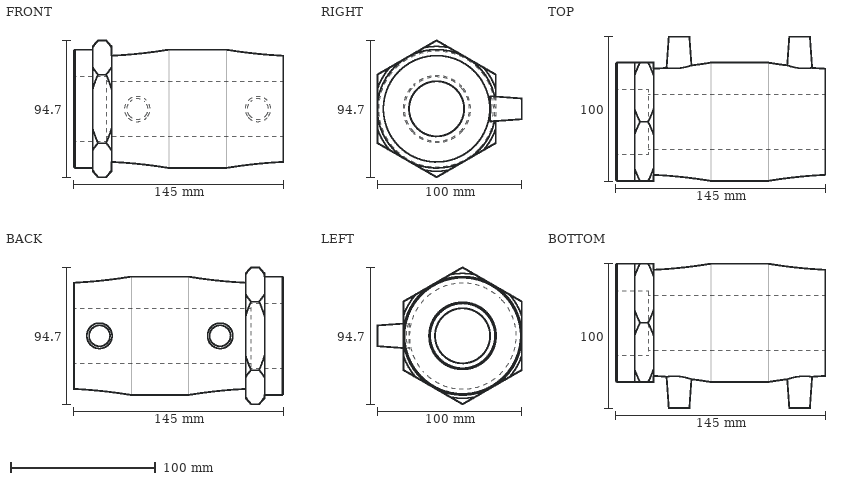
import cadquery as cq
import math

LENGTH = 145.0
BODY_DIAMETER = 82.0
NECK_DIAMETER = 73.7
NECK_HOLLOW = 0.6
COLLAR_LENGTH = 13.0
NUT_WIDTH = 13.0
RIM_CHAMFER = 0.9

NUT_FACE_DIAMETER = 86.4
NUT_CHAMFER_LENGTH = 3.8

BORE_DIAMETER = 38.0
SOCKET_DIAMETER = 44.8
SOCKET_DEPTH = 22.5
SOCKET_CHAMFER = 0.9

PIN_POSITIONS = (43.8, 127.2)
PIN_TIP_Y = 59.0
PIN_TIP_DIAMETER = 14.5
PIN_ROOT_DIAMETER = 18.0
PIN_ROOT_Y = 34.8

body_radius = BODY_DIAMETER / 2
neck_radius = NECK_DIAMETER / 2
nut_end = COLLAR_LENGTH + NUT_WIDTH
section_length = (LENGTH - nut_end) / 3
barrel_start = nut_end + section_length
barrel_end = barrel_start + section_length
nut_corner_radius = BODY_DIAMETER / math.sqrt(3)


def revolve_about_x(profile):
    return profile.close().revolve(360, (0, 0, 0), (1, 0, 0))


def make_body():
    """Collar, barrel and two slightly hollow necks that mirror each other."""
    middle_radius = (body_radius + neck_radius) / 2 - NECK_HOLLOW
    profile = (
        cq.Workplane("XY")
        .lineTo(0, body_radius - RIM_CHAMFER)
        .lineTo(RIM_CHAMFER, body_radius)
        .lineTo(COLLAR_LENGTH, body_radius)
        .lineTo(COLLAR_LENGTH, neck_radius)
        .lineTo(nut_end, neck_radius)
        .threePointArc((nut_end + section_length / 2, middle_radius), (barrel_start, body_radius))
        .lineTo(barrel_end, body_radius)
        .threePointArc((barrel_end + section_length / 2, middle_radius), (LENGTH, neck_radius))
        .lineTo(LENGTH, 0)
    )
    return revolve_about_x(profile)


def make_nut():
    """Hexagon with corners up and down, chamfered on both faces."""
    hexagon = (
        cq.Workplane("YZ", origin=(COLLAR_LENGTH, 0, 0))
        .transformed(rotate=(0, 0, 90))
        .polygon(6, 2 * nut_corner_radius)
        .extrude(NUT_WIDTH)
    )
    face_radius = NUT_FACE_DIAMETER / 2
    envelope = revolve_about_x(
        cq.Workplane("XY")
        .moveTo(COLLAR_LENGTH, 0)
        .lineTo(COLLAR_LENGTH, face_radius)
        .lineTo(COLLAR_LENGTH + NUT_CHAMFER_LENGTH, nut_corner_radius)
        .lineTo(nut_end - NUT_CHAMFER_LENGTH, nut_corner_radius)
        .lineTo(nut_end, face_radius)
        .lineTo(nut_end, 0)
    )
    return hexagon.intersect(envelope)


def make_pin(x):
    """Tapered pin pointing along +Y, rooted inside the body wall."""
    cone = cq.Solid.makeCone(
        PIN_ROOT_DIAMETER / 2,
        PIN_TIP_DIAMETER / 2,
        PIN_TIP_Y - PIN_ROOT_Y,
        cq.Vector(x, PIN_ROOT_Y, 0),
        cq.Vector(0, 1, 0),
    )
    return cq.Workplane(obj=cone)


def make_bore():
    """Through bore with a wider, chamfered socket at the collar end."""
    socket_radius = SOCKET_DIAMETER / 2
    bore_radius = BORE_DIAMETER / 2
    return revolve_about_x(
        cq.Workplane("XY")
        .lineTo(0, socket_radius + SOCKET_CHAMFER)
        .lineTo(SOCKET_CHAMFER, socket_radius)
        .lineTo(SOCKET_DEPTH, socket_radius)
        .lineTo(SOCKET_DEPTH, bore_radius)
        .lineTo(LENGTH, bore_radius)
        .lineTo(LENGTH, 0)
    )


result = make_body().union(make_nut())
for pin_x in PIN_POSITIONS:
    result = result.union(make_pin(pin_x))
result = result.cut(make_bore())